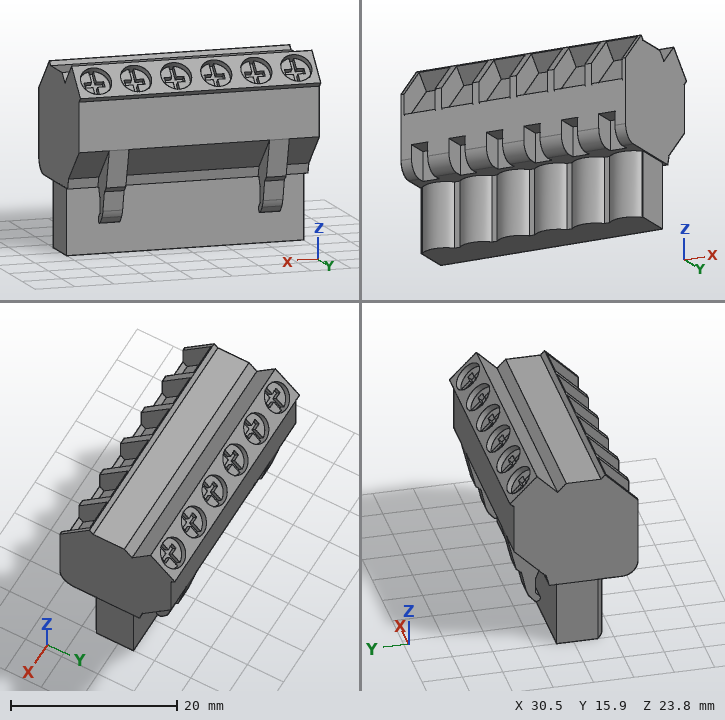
import cadquery as cq
import math


pole_count = 6
pitch = 5.08
length = pole_count * pitch
pole_centres = [(i - (pole_count - 1) / 2) * pitch for i in range(pole_count)]

front_height = 10.35
front_slope_run = 4.08
front_lip = 0.52
bottom_edge_radius = 2.0
groove_front = 8.9
groove_depth = 1.08
screw_face_front = 12.53
screw_face_back = 15.88
back_lip = 0.52
rear_slope_top = 5.3
rear_slope_foot_y = 11.36
rear_bottom_y = 11.0

ridge_height = front_height + front_slope_run
top_height = ridge_height - front_lip
groove_bottom_y = groove_front + groove_depth
groove_bottom_z = top_height - groove_depth
peak_height = groove_bottom_z + screw_face_front - groove_bottom_y
screw_face_low = peak_height - (screw_face_back - screw_face_front)
back_y = screw_face_back - back_lip
rear_slope_foot_z = rear_slope_top - (back_y - rear_slope_foot_y)

pocket_width = 4.18
pocket_sill = 7.77
pocket_sill_drop = 0.6
pocket_top_margin = 0.2

notch_width = 2.2
notch_height = 3.79
notch_depth = 3.0

plug_drop = 8.39
plug_end_inset = 0.2
plug_back = 10.05
plug_web_front = 4.91
socket_front = 3.96
socket_radius = 3.0

latch_width = 2.5
latch_knee_y = 14.16
latch_knee_z = 0.5
latch_ledge_y = 13.5
latch_ledge_z = -0.1
latch_bend_y = 12.93
latch_bend_z = -2.6
latch_bend_end_y = 12.55
latch_bend_end_z = -3.47
latch_bend_bulge = 0.03
hook_tip_y = 11.62
hook_tip_z = -3.86
hook_tip_radius = 0.45
latch_inner_y = 11.76
latch_inner_top_z = -1.11
latch_root_y = 11.33
latch_centres = [pole_centres[0] + pitch / 2, pole_centres[-1] - pitch / 2]

screw_diameter = 3.84
screw_recess = 0.8
screw_length = 3.0
slot_depth = 0.65
slot_width = 0.58
cross_slot_width = 0.75
cross_slot_length = 2.45
screw_face_mid_y = (screw_face_front + screw_face_back) / 2
screw_face_mid_z = (peak_height + screw_face_low) / 2


def side_plane(x):
    """Plane across the row at x, with local axes Y and Z."""
    return cq.Workplane("YZ", origin=(x, 0, 0))


def screw_plane(x):
    """Plane on the sloped screw face at x; local x along the row, normal out of the face."""
    return cq.Workplane(
        cq.Plane(origin=(x, screw_face_mid_y, screw_face_mid_z), xDir=(1, 0, 0), normal=(0, 1, 1))
    )


def make_shell():
    """Housing cross-section run along the row, with a rounded lower front edge."""
    outline = [
        (0, 0),
        (0, front_height),
        (front_slope_run, ridge_height),
        (front_slope_run + front_lip, top_height),
        (groove_front, top_height),
        (groove_bottom_y, groove_bottom_z),
        (screw_face_front, peak_height),
        (screw_face_back, screw_face_low),
        (back_y, screw_face_low - back_lip),
        (back_y, rear_slope_top),
        (rear_slope_foot_y, rear_slope_foot_z),
        (rear_bottom_y, 0),
    ]
    shell = side_plane(0).polyline(outline).close().extrude(length / 2, both=True)
    return shell.edges(cq.selectors.NearestToPointSelector((0, 0, 0))).fillet(bottom_edge_radius)


def make_plug():
    """Straight-walled block with a bulging round front at every pole."""
    plug_length = length - 2 * plug_end_inset
    plug = (
        cq.Workplane("XY")
        .center(0, (plug_web_front + plug_back) / 2)
        .rect(plug_length, plug_back - plug_web_front)
        .extrude(-plug_drop)
    )
    socket_axis_y = socket_front + socket_radius
    half_chord = math.sqrt(socket_radius**2 - (socket_axis_y - plug_web_front) ** 2)
    for x in pole_centres:
        socket = (
            cq.Workplane("XY")
            .moveTo(x - half_chord, plug_web_front)
            .threePointArc((x, socket_front), (x + half_chord, plug_web_front))
            .lineTo(x + half_chord, plug_back)
            .lineTo(x - half_chord, plug_back)
            .close()
            .extrude(-plug_drop)
        )
        plug = plug.union(socket)
    return plug


def make_latch(x):
    """Springy hook with a round tip hanging from the rear slope of the housing."""
    bend_mid_y = (latch_bend_y + latch_bend_end_y) / 2 + latch_bend_bulge
    bend_mid_z = (latch_bend_z + latch_bend_end_z) / 2 - latch_bend_bulge
    diagonal = hook_tip_radius * math.sqrt(0.5)
    return (
        side_plane(x)
        .moveTo(back_y, rear_slope_top)
        .lineTo(latch_knee_y, latch_knee_z)
        .lineTo(latch_ledge_y, latch_ledge_z)
        .lineTo(latch_bend_y, latch_bend_z)
        .threePointArc((bend_mid_y, bend_mid_z), (latch_bend_end_y, latch_bend_end_z))
        .lineTo(hook_tip_y + diagonal, hook_tip_z - diagonal)
        .threePointArc(
            (hook_tip_y - diagonal, hook_tip_z - diagonal),
            (hook_tip_y - diagonal, hook_tip_z + diagonal),
        )
        .lineTo(latch_inner_y, hook_tip_z + 2 * diagonal + latch_inner_y - hook_tip_y)
        .lineTo(latch_inner_y, latch_inner_top_z)
        .lineTo(latch_root_y, 0)
        .lineTo(rear_bottom_y, 0)
        .lineTo(rear_slope_foot_y, rear_slope_foot_z)
        .close()
        .extrude(latch_width / 2, both=True)
    )


def make_pocket(x):
    """Wire entry cutter: perpendicular end walls and a floor parallel to the slope."""
    floor_low_y = pocket_sill_drop
    floor_low_z = pocket_sill - pocket_sill_drop
    upper_y = front_slope_run - pocket_top_margin
    upper_z = ridge_height - pocket_top_margin
    upper_fall = (upper_z - floor_low_z - (upper_y - floor_low_y)) / 2
    reach = front_slope_run
    outline = [
        (floor_low_y, floor_low_z),
        (upper_y + upper_fall, upper_z - upper_fall),
        (upper_y - reach, upper_z + reach),
        (-reach, pocket_sill + reach),
    ]
    return side_plane(x).polyline(outline).close().extrude(pocket_width / 2, both=True)


def make_notch(x):
    """Notch cutter open to the front and the underside of the housing."""
    return (
        cq.Workplane("XY")
        .center(x, notch_depth / 2)
        .rect(notch_width, notch_depth)
        .extrude(notch_height)
    )


def make_screw_hole(x):
    """Blind hole cutter square to the screw face."""
    return screw_plane(x).circle(screw_diameter / 2).extrude(-(screw_recess + screw_length))


def make_housing():
    """Shell, plug and latches in one piece, less the openings at every pole."""
    housing = make_shell().union(make_plug())
    for x in latch_centres:
        housing = housing.union(make_latch(x))
    for x in pole_centres:
        housing = housing.cut(make_pocket(x)).cut(make_notch(x)).cut(make_screw_hole(x))
    return housing


def make_screw(x):
    """Slotted screw with a shorter cross slot, filling the hole below its recess."""
    head = screw_plane(x).workplane(offset=-screw_recess)
    screw = head.circle(screw_diameter / 2).extrude(-screw_length)
    slot = head.rect(slot_width, screw_diameter).extrude(-slot_depth)
    cross_slot = head.rect(cross_slot_length, cross_slot_width).extrude(-slot_depth)
    return screw.cut(slot).cut(cross_slot)


housing = make_housing()
screws = [make_screw(x) for x in pole_centres]
result = cq.Compound.makeCompound([housing.val(), *[screw.val() for screw in screws]])